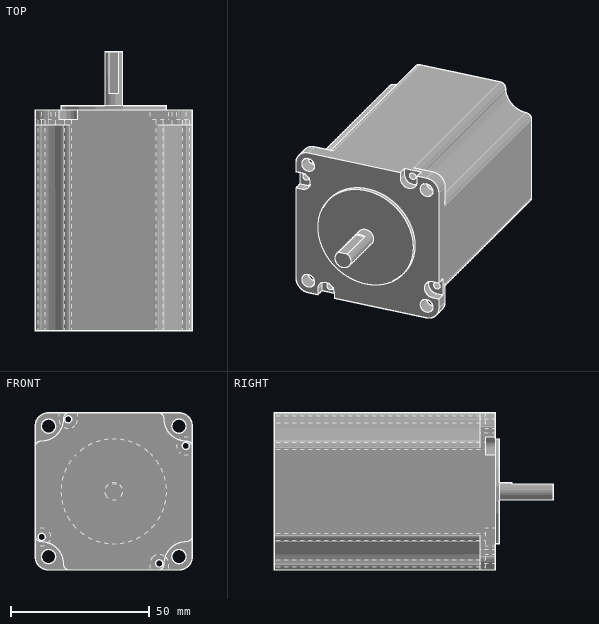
import cadquery as cq

total_length = 101.0
width = 57.0
half_width = width / 2

housing_length = 80.0
flange_thickness = 5.5
flange_corner_radius = 4.9
mount_hole_pitch = 47.2
mount_hole_diameter = 5.0

relief_center_inset = 2.2
relief_radius = 8.1
relief_lip_radius = relief_center_inset

screw_hole_diameter = 2.5
screw_head_diameter = 6.6
screw_head_depth = 3.5
screw_edge_inset = 2.4
screw_side_inset = 12.0

pilot_diameter = 38.1
pilot_height = 1.5
shaft_diameter = 6.4
flat_depth = 0.5
flat_length = 15.0

flange_rear = housing_length - flange_thickness


def plane_at(y):
    """Workplane at the given Y, with local x = -X, local y = Z and normal +Y."""
    return cq.Workplane(cq.Plane(origin=(0, y, 0), xDir=(-1, 0, 0), normal=(0, 1, 0)))


def make_housing():
    block = plane_at(0).rect(width, width).extrude(housing_length)
    return block.edges("|Y").fillet(flange_corner_radius)


def corner_relief():
    """Relief at one corner: a concave arc running into a rounded lip at each side face."""
    diagonal = 0.5 ** 0.5
    arc_center = half_width - relief_center_inset
    arc_end = arc_center - relief_radius
    arc_middle = arc_center - relief_radius * diagonal
    lip_end = arc_end - relief_lip_radius
    lip_near = half_width - relief_lip_radius * (1 - diagonal)
    lip_far = lip_end + relief_lip_radius * diagonal
    return (
        plane_at(0)
        .moveTo(half_width, half_width)
        .lineTo(lip_end, half_width)
        .threePointArc((lip_far, lip_near), (arc_end, arc_center))
        .threePointArc((arc_middle, arc_middle), (arc_center, arc_end))
        .threePointArc((lip_near, lip_far), (half_width, lip_end))
        .close()
        .extrude(flange_rear)
    )


def screw_hole():
    """Through hole with a round-bottomed head slot open to the side of the flange."""
    x = half_width - screw_side_inset
    z = half_width - screw_edge_inset
    hole = plane_at(0).center(x, z).circle(screw_hole_diameter / 2).extrude(housing_length)
    head_plane = plane_at(housing_length - screw_head_depth).center(x, z)
    head_seat = head_plane.circle(screw_head_diameter / 2).extrude(screw_head_depth)
    side_opening = (
        head_plane
        .center(0, screw_edge_inset / 2)
        .rect(screw_head_diameter, screw_edge_inset)
        .extrude(screw_head_depth)
    )
    return hole.union(head_seat).union(side_opening)


def mount_hole():
    offset = mount_hole_pitch / 2
    hole = plane_at(flange_rear).center(offset, offset)
    return hole.circle(mount_hole_diameter / 2).extrude(flange_thickness)


def make_shaft():
    shaft = plane_at(housing_length).circle(shaft_diameter / 2).extrude(total_length - housing_length)
    flat_cut = (
        plane_at(total_length - flat_length)
        .center(0, shaft_diameter / 2 - flat_depth / 2)
        .rect(shaft_diameter, flat_depth)
        .extrude(flat_length)
    )
    return shaft.cut(flat_cut)


result = make_housing()
for corner in range(4):
    angle = 90 * corner
    for cutter in (corner_relief(), mount_hole(), screw_hole()):
        result = result.cut(cutter.rotate((0, 0, 0), (0, 1, 0), angle))

pilot = plane_at(housing_length).circle(pilot_diameter / 2).extrude(pilot_height)
result = result.union(pilot).union(make_shaft())